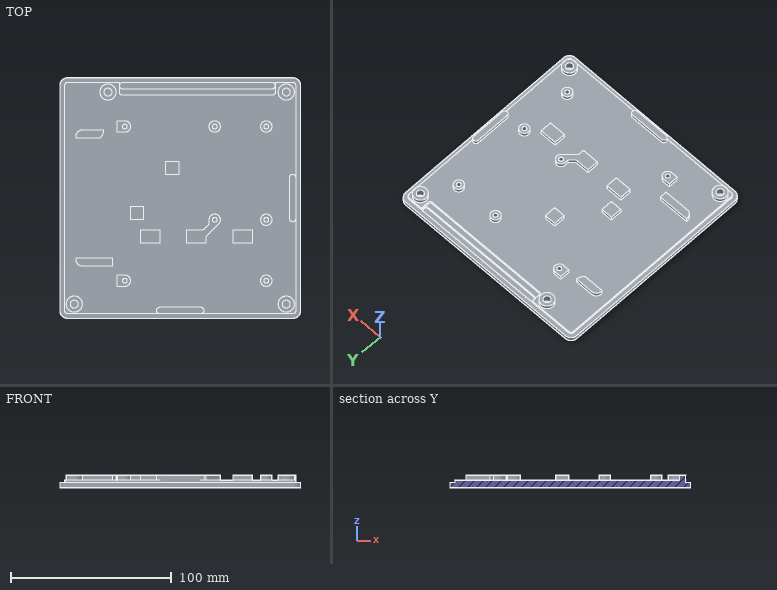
import cadquery as cq
import math

PLATE_SIZE = 150.0
PLATE_THICKNESS = 3.5
PLATE_CORNER_RADIUS = 5.0
STEP_INSET = 3.0
STEP_HEIGHT = 1.5
STEP_SIZE = PLATE_SIZE - 2 * STEP_INSET
STEP_CORNER_RADIUS = PLATE_CORNER_RADIUS - STEP_INSET
STEP_EDGE = STEP_SIZE / 2
FACE_Z = PLATE_THICKNESS + STEP_HEIGHT

TOP_Z = 8.0
FLOOR_Z = 2.0

BOSS_DIAMETER = 10.0
BOSS_HOLE_DIAMETER = 5.0
BOSS_OFFSET = 66.0
BOSS_SHIFTED_X = -45.0
BOSSES = [
    (-BOSS_OFFSET, -BOSS_OFFSET),
    (BOSS_OFFSET, -BOSS_OFFSET),
    (BOSS_OFFSET, BOSS_OFFSET),
    (BOSS_SHIFTED_X, BOSS_OFFSET),
]

POST_DIAMETER = 7.0
POST_RADIUS = POST_DIAMETER / 2
POST_HOLE_DIAMETER = 3.0
POST_LEFT_X, POST_MIDDLE_X, POST_RIGHT_X = -34.5, 21.5, 53.5
POST_BACK_Y, POST_MIDDLE_Y, POST_FRONT_Y = 44.5, -13.5, -51.5
ROUND_POSTS = [
    (POST_MIDDLE_X, POST_BACK_Y),
    (POST_RIGHT_X, POST_BACK_Y),
    (POST_MIDDLE_X, POST_MIDDLE_Y),
    (POST_RIGHT_X, POST_MIDDLE_Y),
    (POST_RIGHT_X, POST_FRONT_Y),
]
SQUARED_POSTS = [(POST_LEFT_X, POST_BACK_Y), (POST_LEFT_X, POST_FRONT_Y)]
SQUARED_POST_REACH = 4.8

SQUARE_PAD_SIZE = 8.2
SQUARE_PADS = [(-5.0, 18.8), (-26.8, -9.3)]
PAD_LENGTH = 12.2
PAD_WIDTH = 8.2
PAD_Y = -23.8
PAD_MIDDLE_X = 10.0
PAD_PITCH = 28.8

ARM_WIDTH = 4.0
ARM_FILLET_RADIUS = 2.0

RIB_LEFT_X = -65.0
RIB_WIDTH = 5.1
RIB_CORNER_RADIUS = 4.2
BACK_RIB_Y = 37.4
BACK_RIB_LENGTH = 17.2
BACK_RIB_END_DROP = 2.2
FRONT_RIB_Y = -42.3
FRONT_RIB_LENGTH = 22.8

TONGUE_WIDTH = 4.0
TONGUE_CENTER = STEP_EDGE - TONGUE_WIDTH / 2
TAB_LENGTH = 29.5

SLOT_LENGTH = 97.0
SLOT_CENTER_X = 10.6
SHELF_FRONT_Y = 64.2
SHELF_CORNER_RADIUS = 1.5


def box(length, width, center, bottom, top):
    """Upright block between two heights, centred on a point."""
    base = cq.Workplane("XY", origin=(center[0], center[1], bottom))
    return base.rect(length, width).extrude(top - bottom)


def cylinders(diameter, points, bottom, top):
    """Upright cylinders of one diameter between two heights."""
    base = cq.Workplane("XY").workplane(offset=bottom)
    return base.pushPoints(points).circle(diameter / 2).extrude(top - bottom)


def raised(outline):
    """Extrude a closed outline from inside the plate up to the common top."""
    return outline.extrude(TOP_Z - FLOOR_Z)


def outline_plane():
    """Plane inside the plate where raised outlines start."""
    return cq.Workplane("XY").workplane(offset=FLOOR_Z)


def make_plate():
    plate = box(PLATE_SIZE, PLATE_SIZE, (0, 0), 0, PLATE_THICKNESS)
    plate = plate.edges("|Z").fillet(PLATE_CORNER_RADIUS)
    step = box(STEP_SIZE, STEP_SIZE, (0, 0), FLOOR_Z, FACE_Z)
    return plate.union(step.edges("|Z").fillet(STEP_CORNER_RADIUS))


def tongue(length, center, angle, bottom, top):
    """Straight bar with full round ends, turned about its centre."""
    base = cq.Workplane("XY", origin=(center[0], center[1], bottom))
    return base.slot2D(length, TONGUE_WIDTH, angle).extrude(top - bottom)


def make_tabs():
    front = tongue(TAB_LENGTH, (0, -TONGUE_CENTER), 0, FACE_Z, TOP_Z)
    right = tongue(TAB_LENGTH, (TONGUE_CENTER, 0), 90, FACE_Z, TOP_Z)
    return front.union(right)


def make_squared_post_backs():
    backs = cq.Workplane("XY")
    for x, y in SQUARED_POSTS:
        center = (x - SQUARED_POST_REACH / 2, y)
        backs = backs.add(box(SQUARED_POST_REACH, POST_DIAMETER, center, FLOOR_Z, TOP_Z))
    return backs.combine()


def make_pads():
    pads = cq.Workplane("XY")
    for center in SQUARE_PADS:
        pads = pads.add(box(SQUARE_PAD_SIZE, SQUARE_PAD_SIZE, center, FLOOR_Z, TOP_Z))
    for column in (-1, 0, 1):
        center = (PAD_MIDDLE_X + column * PAD_PITCH, PAD_Y)
        pads = pads.add(box(PAD_LENGTH, PAD_WIDTH, center, FLOOR_Z, TOP_Z))
    return pads.combine()


def make_arm():
    """45 degree arm with one side tangent to the post, filleted where it meets the pad."""
    pad_right = PAD_MIDDLE_X + PAD_LENGTH / 2
    pad_top = PAD_Y + PAD_WIDTH / 2
    post_left = POST_MIDDLE_X - POST_RADIUS
    diagonal = POST_RADIUS / math.sqrt(2)
    tangent = (POST_MIDDLE_X + diagonal, POST_MIDDLE_Y - diagonal)
    right_rise = tangent[1] - tangent[0]
    left_rise = right_rise + ARM_WIDTH * math.sqrt(2)
    left_corner = (pad_top - left_rise, pad_top)
    right_corner = (pad_right, pad_right + right_rise)
    outline = outline_plane().polyline([
        (POST_MIDDLE_X, POST_MIDDLE_Y),
        (post_left, POST_MIDDLE_Y),
        (post_left, post_left + left_rise),
        left_corner,
        (PAD_MIDDLE_X, pad_top),
        (PAD_MIDDLE_X, PAD_Y - PAD_WIDTH / 2),
        (pad_right, PAD_Y - PAD_WIDTH / 2),
        right_corner,
        tangent,
    ]).close()
    arm = raised(outline)
    for x, y in (left_corner, right_corner):
        corner_edge = cq.selectors.NearestToPointSelector((x, y, (FLOOR_Z + TOP_Z) / 2))
        arm = arm.edges(corner_edge).fillet(ARM_FILLET_RADIUS)
    return arm


def make_back_rib():
    top = BACK_RIB_Y + RIB_WIDTH
    right = RIB_LEFT_X + BACK_RIB_LENGTH
    end_radius = (RIB_WIDTH ** 2 + BACK_RIB_END_DROP ** 2) / (2 * BACK_RIB_END_DROP)
    outline = (
        outline_plane()
        .moveTo(RIB_LEFT_X, BACK_RIB_Y)
        .lineTo(right - BACK_RIB_END_DROP, BACK_RIB_Y)
        .radiusArc((right, top), -end_radius)
        .lineTo(RIB_LEFT_X + RIB_CORNER_RADIUS, top)
        .radiusArc((RIB_LEFT_X, top - RIB_CORNER_RADIUS), -RIB_CORNER_RADIUS)
        .close()
    )
    return raised(outline)


def make_front_rib():
    center = (RIB_LEFT_X + FRONT_RIB_LENGTH / 2, FRONT_RIB_Y + RIB_WIDTH / 2)
    rib = box(FRONT_RIB_LENGTH, RIB_WIDTH, center, FLOOR_Z, TOP_Z)
    return rib.edges("|Z and <X and <Y").fillet(RIB_CORNER_RADIUS)


def make_back_slot():
    """Shelf cut down to the ledge through the back of the step, with a deeper slot behind it."""
    shelf_width = STEP_EDGE - SHELF_FRONT_Y
    shelf_center = (SLOT_CENTER_X, SHELF_FRONT_Y + shelf_width / 2)
    shelf = box(SLOT_LENGTH, shelf_width, shelf_center, PLATE_THICKNESS, FACE_Z)
    shelf = shelf.edges("|Z and <Y").fillet(SHELF_CORNER_RADIUS)
    slot = tongue(SLOT_LENGTH, (SLOT_CENTER_X, TONGUE_CENTER), 0, FLOOR_Z, FACE_Z)
    return shelf.union(slot)


posts = ROUND_POSTS + SQUARED_POSTS
result = make_plate().cut(make_back_slot())
for feature in (
    make_tabs(),
    make_squared_post_backs(),
    make_pads(),
    make_arm(),
    make_back_rib(),
    make_front_rib(),
    cylinders(BOSS_DIAMETER, BOSSES, FLOOR_Z, TOP_Z),
    cylinders(POST_DIAMETER, posts, FLOOR_Z, TOP_Z),
):
    result = result.union(feature)
result = result.cut(cylinders(BOSS_HOLE_DIAMETER, BOSSES, FLOOR_Z, TOP_Z))
result = result.cut(cylinders(POST_HOLE_DIAMETER, posts, FLOOR_Z, TOP_Z))